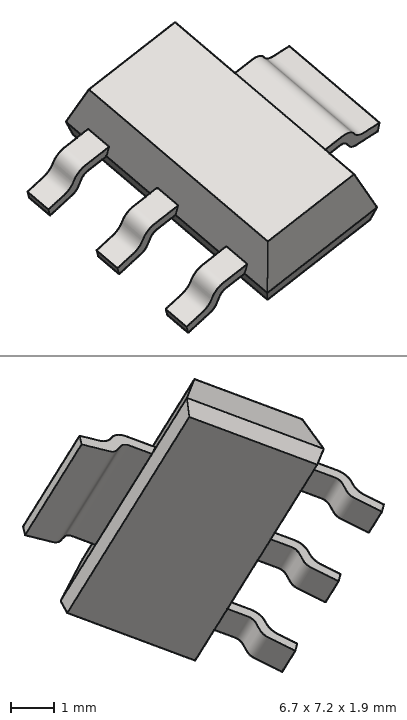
import cadquery as cq
import math

overall_depth = 7.2
overall_height = 1.9

body_width = 6.7
body_depth = 3.5
body_bottom_z = 0.1
parting_z = 0.605
upper_inset = 0.375
lower_inset = 0.115

sheet_thickness = 0.295
knee_y = 2.66
slope_angle = 63.0
foot_angle = 10.0
knee_outer_radius = 0.4
knee_inner_radius = 0.23
ankle_inner_radius = 0.4
ankle_outer_radius = 0.28

lead_count = 3
lead_width = 0.7
lead_pitch = 2.3
lead_row_shift = -0.05
tab_width = 3.0


def tapered_half(start_z, end_z, inset):
    """Half of the body, from the parting rectangle to a rectangle smaller by inset all round."""
    return (
        cq.Workplane("XY", origin=(0, 0, start_z))
        .rect(body_width, body_depth)
        .workplane(offset=end_z - start_z)
        .rect(body_width - 2 * inset, body_depth - 2 * inset)
        .loft(ruled=True)
    )


def make_body():
    upper_half = tapered_half(parting_z, overall_height, upper_inset)
    lower_half = tapered_half(parting_z, body_bottom_z, lower_inset)
    return upper_half.union(lower_half)


def line_crossing(point_a, angle_a, point_b, angle_b):
    """Crossing of two (Y, Z) lines that fall at the given angles in degrees as Y grows."""
    fall_a = math.tan(math.radians(angle_a))
    fall_b = math.tan(math.radians(angle_b))
    y = (point_a[1] - point_b[1] + fall_a * point_a[0] - fall_b * point_b[0]) / (fall_a - fall_b)
    return (y, point_a[1] - fall_a * (y - point_a[0]))


def make_bent_strip(width, centre_x):
    """Gull-wing strip that runs out along +Y from the sloping body side."""
    foot = math.radians(foot_angle)
    top_z = parting_z + sheet_thickness
    side_lean = upper_inset / (overall_height - parting_z)

    root_bottom = (body_depth / 2, parting_z)
    root_top = (body_depth / 2 - side_lean * sheet_thickness, top_z)
    toe_top = (overall_depth / 2, sheet_thickness * math.cos(foot))
    toe_bottom = (overall_depth / 2 - sheet_thickness * math.sin(foot), 0)

    knee_top = (knee_y, top_z)
    knee_bottom = (knee_y - sheet_thickness * math.tan(math.radians(slope_angle / 2)), parting_z)
    ankle_top = line_crossing(knee_top, slope_angle, toe_top, foot_angle)
    ankle_bottom = line_crossing(knee_bottom, slope_angle, toe_bottom, foot_angle)

    strip = (
        cq.Workplane("YZ", origin=(centre_x - width / 2, 0, 0))
        .polyline([root_bottom, root_top, knee_top, ankle_top,
                   toe_top, toe_bottom, ankle_bottom, knee_bottom])
        .close()
        .extrude(width)
    )
    bends = [
        (knee_top, knee_outer_radius),
        (knee_bottom, knee_inner_radius),
        (ankle_top, ankle_inner_radius),
        (ankle_bottom, ankle_outer_radius),
    ]
    for (y, z), radius in bends:
        corner = cq.selectors.NearestToPointSelector((centre_x, y, z))
        strip = strip.edges("|X").edges(corner).fillet(radius)
    return strip


def make_lead(centre_x):
    """The strip turned round to the -Y side."""
    return make_bent_strip(lead_width, -centre_x).rotate((0, 0, 0), (0, 0, 1), 180)


body = make_body()
tab = make_bent_strip(tab_width, 0)

leads = []
for index in range(lead_count):
    steps_from_middle = index - (lead_count - 1) / 2
    leads.append(make_lead(lead_row_shift + steps_from_middle * lead_pitch))

result = cq.Compound.makeCompound([body.val(), tab.val(), *[lead.val() for lead in leads]])